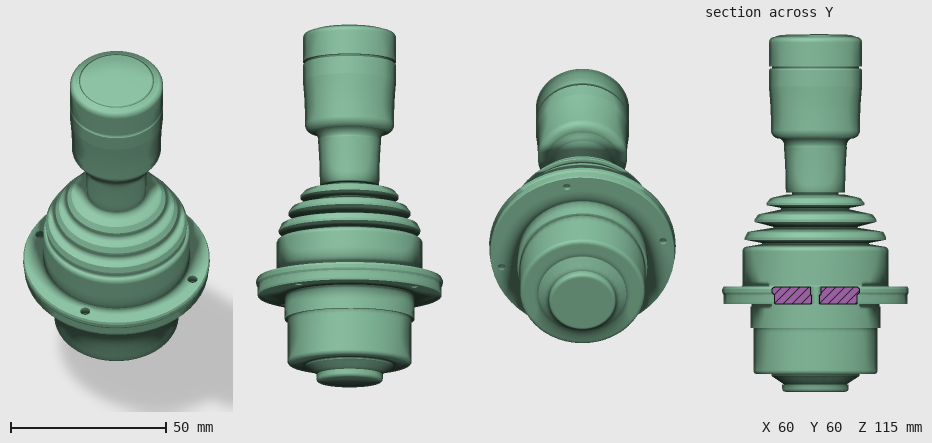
import cadquery as cq
import math

DIAG = math.sqrt(0.5)

plug_radius = 10.7
plug_height = 2.4
plug_fillet = 1.0
plug_neck_radius = 10.1
cone_top_radius = 14.1
cone_top = 5.1
can_bottom = 5.6
can_radius = 20.0
can_fillet = 1.3
collar_bottom = 20.5
collar_radius = 20.88
relief_radius = 20.6
relief_height = 0.8

flange_bottom = 28.2
flange_top = 33.8
flange_radius = 30.0
flange_lower_radius = 29.7
flange_foot_chamfer = 0.1
flange_foot_height = 0.6
flange_rim_bottom = 31.3
flange_bevel = 0.7
flange_bevel_inset = 0.3
hole_circle_radius = 26.5
hole_diameter = 2.4
hole_mouth_diameter = 3.2
hole_count = 4

boot_radius = 23.53
boot_foot_flare = 0.3
boot_wall_top = 45.1
boot_crown_radius = 22.1
boot_crown = 46.7
neck_radius = 7.5
neck_bottom = 63.5
neck_foot_radius = 9.7
neck_foot_height = 63.4
lip_height = 0.7
bevel_width = 0.6
bevel_height = 0.2
bellows_folds = [
    (17.3, 47.5, 47.9, 22.8, 48.9, 22.0, 51.3),
    (13.5, 52.8, 53.0, 19.7, 54.6, 18.5, 57.0),
    (11.0, 58.7, 59.1, 15.82, 60.0, 14.5, 62.2),
]

grip_bottom = 64.1
grip_bottom_radius = 9.5
grip_bottom_fillet = 0.2
waist_radius = 10.1
waist_height = 78.6
waist_hollow = 0.14
flare_radius = 11.5
flare_height = 81.5
bulb_radius = 14.4
bulb_bottom = 84.1
bulb_top = 98.2
bulb_hollow = 0.2
grip_radius = 15.01
grip_top = 104.0
grip_top_chamfer = 0.5

seam_radius = 14.0
cap_bottom = 104.7
cap_wall_top = 112.4
cap_fillet = 1.7
rim_inner_radius = 12.1
rim_inner_height = 114.6
button_radius = 11.8
button_gap_floor = 114.0
button_fillet = 0.6
button_dome = 0.2
overall_height = 115.0


def corner_arc_middle(center, radius, side):
    """Midpoint of a quarter-round facing outward and up (side=1) or down (side=-1)."""
    return (center[0] + radius * DIAG, center[1] + side * radius * DIAG)


def housing(profile):
    plug_center = (plug_radius - plug_fillet, plug_fillet)
    can_center = (can_radius - can_fillet, can_bottom + can_fillet)
    return (
        profile.lineTo(plug_center[0], 0)
        .threePointArc(corner_arc_middle(plug_center, plug_fillet, -1), (plug_radius, plug_fillet))
        .lineTo(plug_radius, plug_height)
        .lineTo(plug_neck_radius, plug_height)
        .lineTo(cone_top_radius, cone_top)
        .lineTo(cone_top_radius, can_bottom)
        .lineTo(can_center[0], can_bottom)
        .threePointArc(corner_arc_middle(can_center, can_fillet, -1), (can_radius, can_center[1]))
        .lineTo(can_radius, collar_bottom)
        .lineTo(collar_radius, collar_bottom)
        .lineTo(collar_radius, flange_bottom - relief_height)
        .lineTo(relief_radius, flange_bottom - relief_height)
        .lineTo(relief_radius, flange_bottom)
    )


def flange(profile):
    return (
        profile.lineTo(flange_lower_radius - flange_foot_chamfer, flange_bottom)
        .lineTo(flange_lower_radius, flange_bottom + flange_foot_height)
        .lineTo(flange_lower_radius, flange_rim_bottom)
        .lineTo(flange_radius, flange_rim_bottom + flange_bevel)
        .lineTo(flange_radius, flange_top - flange_bevel)
        .lineTo(flange_radius - flange_bevel_inset, flange_top)
        .lineTo(boot_radius + boot_foot_flare, flange_top)
    )


def boot(profile):
    crown_drop = boot_crown - boot_wall_top
    crown_inset = boot_radius - boot_crown_radius
    crown_middle = (
        boot_crown_radius + crown_inset * DIAG,
        boot_wall_top + crown_drop * DIAG,
    )
    profile = (
        profile.lineTo(boot_radius, flange_top + boot_foot_flare)
        .lineTo(boot_radius, boot_wall_top)
        .threePointArc(crown_middle, (boot_crown_radius, boot_crown))
    )
    for root, root_bottom, root_top, lip, lip_bottom, shoulder, shoulder_height in bellows_folds:
        profile = (
            profile.lineTo(root, root_bottom)
            .lineTo(root, root_top)
            .lineTo(lip, lip_bottom)
            .lineTo(lip, lip_bottom + lip_height)
            .lineTo(shoulder, shoulder_height)
            .lineTo(shoulder - bevel_width, shoulder_height + bevel_height)
        )
    return (
        profile.lineTo(neck_foot_radius, neck_foot_height)
        .lineTo(neck_radius, neck_bottom)
        .lineTo(neck_radius, grip_bottom)
    )


def grip(profile):
    foot_center = (grip_bottom_radius - grip_bottom_fillet, grip_bottom + grip_bottom_fillet)
    hollow_middle = (
        waist_radius + (flare_radius - waist_radius) * (1 - DIAG),
        waist_height + (flare_height - waist_height) * DIAG,
    )
    bulge_middle = (
        flare_radius + (bulb_radius - flare_radius) * DIAG,
        flare_height + (bulb_bottom - flare_height) * (1 - DIAG),
    )
    waist_middle = (
        (grip_bottom_radius + waist_radius) / 2 - waist_hollow,
        (foot_center[1] + waist_height) / 2,
    )
    bulb_middle = (
        (bulb_radius + grip_radius) / 2 - bulb_hollow,
        (bulb_bottom + bulb_top) / 2,
    )
    return (
        profile.lineTo(foot_center[0], grip_bottom)
        .threePointArc(
            corner_arc_middle(foot_center, grip_bottom_fillet, -1),
            (grip_bottom_radius, foot_center[1]),
        )
        .threePointArc(waist_middle, (waist_radius, waist_height))
        .threePointArc(hollow_middle, (flare_radius, flare_height))
        .threePointArc(bulge_middle, (bulb_radius, bulb_bottom))
        .threePointArc(bulb_middle, (grip_radius, bulb_top))
        .lineTo(grip_radius, grip_top - grip_top_chamfer)
        .lineTo(grip_radius - grip_top_chamfer, grip_top)
        .lineTo(seam_radius, grip_top)
        .lineTo(seam_radius, cap_bottom)
    )


def cap(profile):
    cap_center = (grip_radius - cap_fillet, cap_wall_top)
    button_edge = overall_height - button_dome
    button_center = (button_radius - button_fillet, button_edge - button_fillet)
    dome_radius = (button_center[0] ** 2 + button_dome ** 2) / (2 * button_dome)
    dome_middle_radius = button_center[0] / 2
    dome_middle = (
        dome_middle_radius,
        overall_height - dome_radius + math.sqrt(dome_radius ** 2 - dome_middle_radius ** 2),
    )
    return (
        profile.lineTo(grip_radius, cap_bottom)
        .lineTo(grip_radius, cap_wall_top)
        .threePointArc(
            corner_arc_middle(cap_center, cap_fillet, 1),
            (cap_center[0], cap_wall_top + cap_fillet),
        )
        .lineTo(rim_inner_radius, rim_inner_height)
        .lineTo(rim_inner_radius, button_gap_floor)
        .lineTo(button_radius, button_gap_floor)
        .lineTo(button_radius, button_center[1])
        .threePointArc(
            corner_arc_middle(button_center, button_fillet, 1),
            (button_center[0], button_edge),
        )
        .threePointArc(dome_middle, (0, overall_height))
    )


def flange_holes():
    """Through holes on the flange, each counterbored down to the underside of the flange rim."""
    drill = cq.Workplane("XY").circle(hole_diameter / 2).extrude(flange_top)
    mouth = (
        cq.Workplane("XY", origin=(0, 0, flange_rim_bottom))
        .circle(hole_mouth_diameter / 2)
        .extrude(flange_top - flange_rim_bottom)
    )
    cutter = drill.union(mouth).translate((hole_circle_radius, 0, 0))
    holes = cq.Workplane("XY")
    for index in range(hole_count):
        holes = holes.union(cutter.rotate((0, 0, 0), (0, 0, 1), index * 360 / hole_count))
    return holes


half_section = cq.Workplane("XZ").moveTo(0, 0)
for section in (housing, flange, boot, grip, cap):
    half_section = section(half_section)
body = half_section.close().revolve(360, (0, 0, 0), (0, 1, 0))

result = body.cut(flange_holes())